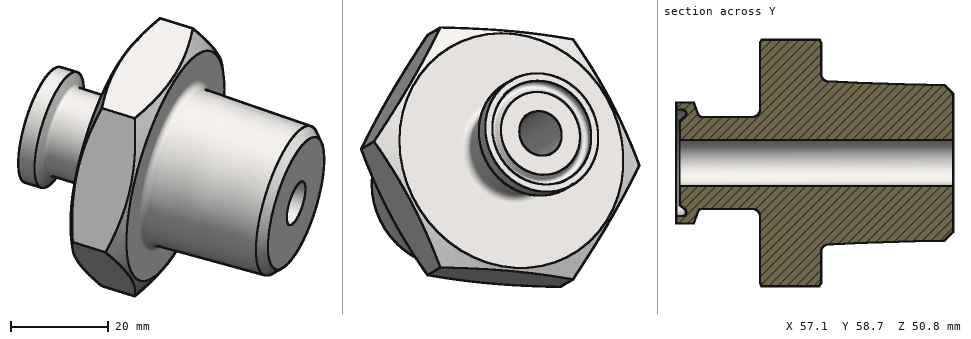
import cadquery as cq
import math


total_length = 57.1
bore_radius = 9.4 / 2

flange_radius = 25.0 / 2
flange_rim_length = 3.7
flange_back_angle = 20
flange_neck_fillet = 0.75
neck_radius = 19.05 / 2

groove_outer_radius = 21.9 / 2
groove_wall_depth = 1.3
groove_inner_radius = 19.05 / 2
groove_cone_angle = 38
land_radius = 17.5 / 2

hex_start = 17.25
hex_end = 29.9
hex_across_corners = 58.65
hex_chamfer_radius = 49.5 / 2
hex_chamfer_angle = 30
root_fillet = 1.5

pipe_radius = 33.65 / 2
pipe_straight_length = 2.1
pipe_taper = 1 / 32
pipe_chamfer = 1.9


def tangent(angle):
    """Tangent of an angle in degrees."""
    return math.tan(math.radians(angle))


def make_body():
    """Solid of revolution: ferrule, neck, hexagon core and pipe end."""
    flange_back_end = flange_rim_length + (flange_radius - neck_radius) * tangent(flange_back_angle)

    fillet_reach = flange_neck_fillet * tangent((90 - flange_back_angle) / 2)
    back_angle = math.radians(flange_back_angle)
    fillet_start = (
        flange_back_end - fillet_reach * math.sin(back_angle),
        neck_radius + fillet_reach * math.cos(back_angle),
    )
    fillet_end = (flange_back_end + fillet_reach, neck_radius)

    taper_start = hex_end + pipe_straight_length
    chamfer_start = total_length - pipe_chamfer
    pipe_end_radius = pipe_radius - (chamfer_start - taper_start) * pipe_taper

    profile = (
        cq.Workplane("XY")
        .lineTo(0, flange_radius)
        .lineTo(flange_rim_length, flange_radius)
        .lineTo(*fillet_start)
        .radiusArc(fillet_end, -flange_neck_fillet)
        .lineTo(hex_start - root_fillet, neck_radius)
        .radiusArc((hex_start, neck_radius + root_fillet), -root_fillet)
        .lineTo(hex_end, neck_radius + root_fillet)
        .lineTo(hex_end, pipe_radius + root_fillet)
        .radiusArc((hex_end + root_fillet, pipe_radius), -root_fillet)
        .lineTo(taper_start, pipe_radius)
        .lineTo(chamfer_start, pipe_end_radius)
        .lineTo(total_length, pipe_end_radius - pipe_chamfer)
        .lineTo(total_length, 0)
        .close()
    )
    return profile.revolve(360, (0, 0, 0), (1, 0, 0))


def make_hexagon():
    """Hexagon with corners on +Y and -Y, both faces chamfered by a cone."""
    prism = (
        cq.Workplane("YZ", origin=(hex_start, 0, 0))
        .polygon(6, hex_across_corners)
        .extrude(hex_end - hex_start)
    )
    corner_radius = hex_across_corners / 2
    chamfer_length = (corner_radius - hex_chamfer_radius) * tangent(hex_chamfer_angle)
    envelope = (
        cq.Workplane("XY")
        .moveTo(hex_start, 0)
        .lineTo(hex_start, hex_chamfer_radius)
        .lineTo(hex_start + chamfer_length, corner_radius)
        .lineTo(hex_end - chamfer_length, corner_radius)
        .lineTo(hex_end, hex_chamfer_radius)
        .lineTo(hex_end, 0)
        .close()
        .revolve(360, (0, 0, 0), (1, 0, 0))
    )
    return prism.intersect(envelope)


def make_face_cut():
    """Gasket groove with a rounded floor, and the recess down to the inner land."""
    cone_angle = math.radians(groove_cone_angle)
    floor_radius = (groove_outer_radius - groove_inner_radius) / (1 + math.cos(cone_angle))
    cone_bottom = groove_wall_depth + floor_radius * math.sin(cone_angle)
    land_depth = cone_bottom - (groove_inner_radius - land_radius) / tangent(groove_cone_angle)
    floor_bottom = (groove_wall_depth + floor_radius, groove_outer_radius - floor_radius)

    profile = (
        cq.Workplane("XY")
        .lineTo(0, groove_outer_radius)
        .lineTo(groove_wall_depth, groove_outer_radius)
        .threePointArc(floor_bottom, (cone_bottom, groove_inner_radius))
        .lineTo(land_depth, land_radius)
        .lineTo(land_depth, 0)
        .close()
    )
    return profile.revolve(360, (0, 0, 0), (1, 0, 0))


def make_bore():
    """Straight bore through the full length."""
    return cq.Workplane("YZ").circle(bore_radius).extrude(total_length)


result = make_body().union(make_hexagon()).cut(make_face_cut()).cut(make_bore())